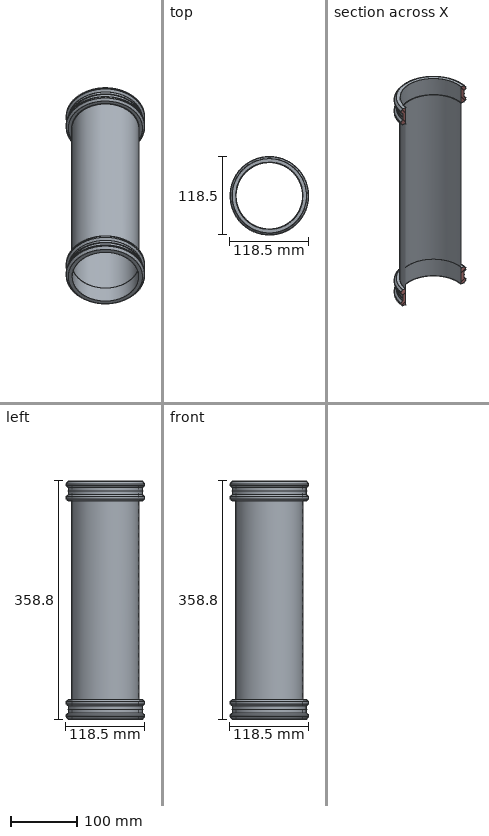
import cadquery as cq

length = 358.8
bore_radius = 100.0 / 2
tube_radius = 102.0 / 2

collar_height = 29.8
collar_radius = 112.0 / 2
lip_radius = 118.5 / 2
lip_height = 9.7
lip_chamfer = lip_radius - collar_radius
end_chamfer_height = 4.0

ridge_radius = 113.5 / 2
ridge_height = 0.5
ridge_base = (collar_height - ridge_height) / 2


def ring(outer_radius, base_z, height):
    """Plain ring around the common bore."""
    return (
        cq.Workplane("XY")
        .workplane(offset=base_z)
        .circle(outer_radius)
        .circle(bore_radius)
        .extrude(height)
    )


def lip(base_z, lower_bevel):
    """Ring beveled from the lip radius to the collar radius above and below."""
    top_z = base_z + lip_height
    profile = [
        (bore_radius, base_z),
        (collar_radius, base_z),
        (lip_radius, base_z + lower_bevel),
        (lip_radius, top_z - lip_chamfer),
        (collar_radius, top_z),
        (bore_radius, top_z),
    ]
    return cq.Workplane("XZ").polyline(profile).close().revolve(360, (0, 0), (0, 1))


def lower_collar():
    """Sleeve at the bottom end with a lip at each end and a ridge midway between."""
    end_z = -length / 2
    sleeve = ring(collar_radius, end_z, collar_height)
    ridge = ring(ridge_radius, end_z + ridge_base, ridge_height)
    end_lip = lip(end_z, end_chamfer_height)
    inner_lip = lip(end_z + collar_height - lip_height, lip_chamfer)
    return sleeve.union(ridge).union(end_lip).union(inner_lip)


def tube_with_collar():
    """Tube with an integral collar at its lower end."""
    tube_bottom = -length / 2 + collar_height
    tube = ring(tube_radius, tube_bottom, length - 2 * collar_height)
    return lower_collar().union(tube)


tube = tube_with_collar()

upper_collar = lower_collar().mirror("XY")

result = cq.Compound.makeCompound([tube.val(), upper_collar.val()])